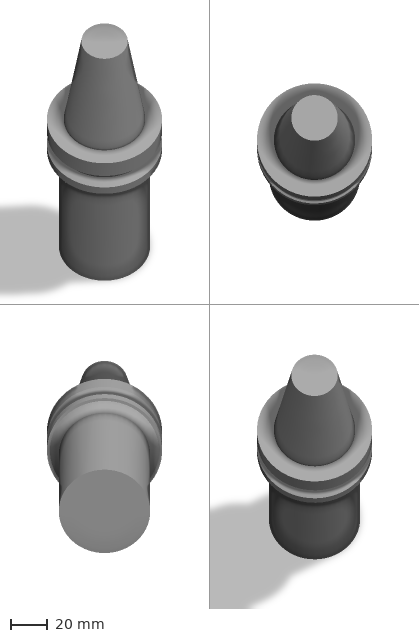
import cadquery as cq

total_length = 173.4

body_diameter = 50.0
flange_diameter = 63.0
groove_diameter = 53.0
gauge_diameter = 44.4
taper_tip_diameter = 25.3
flange_base_diameter = 59.6

body_length = 76.1
base_chamfer_height = 5.2
lower_rim_height = 5.4
groove_floor_height = 4.2
groove_flank_height = 2.8
upper_rim_height = 10.8
gauge_collar_height = 1.0

lower_rim_bottom = body_length + base_chamfer_height
lower_rim_top = lower_rim_bottom + lower_rim_height
groove_floor_bottom = lower_rim_top + groove_flank_height
groove_floor_top = groove_floor_bottom + groove_floor_height
upper_rim_bottom = groove_floor_top + groove_flank_height
flange_top = upper_rim_bottom + upper_rim_height
taper_bottom = flange_top + gauge_collar_height

section = [
    (0, 0),
    (body_diameter, 0),
    (body_diameter, body_length),
    (flange_base_diameter, lower_rim_bottom),
    (flange_diameter, lower_rim_bottom),
    (flange_diameter, lower_rim_top),
    (groove_diameter, groove_floor_bottom),
    (groove_diameter, groove_floor_top),
    (flange_diameter, upper_rim_bottom),
    (flange_diameter, flange_top),
    (gauge_diameter, flange_top),
    (gauge_diameter, taper_bottom),
    (taper_tip_diameter, total_length),
    (0, total_length),
]
half_section = [(diameter / 2, height) for diameter, height in section]

result = cq.Workplane("XZ").polyline(half_section).close().revolve(360, (0, 0), (0, 1))